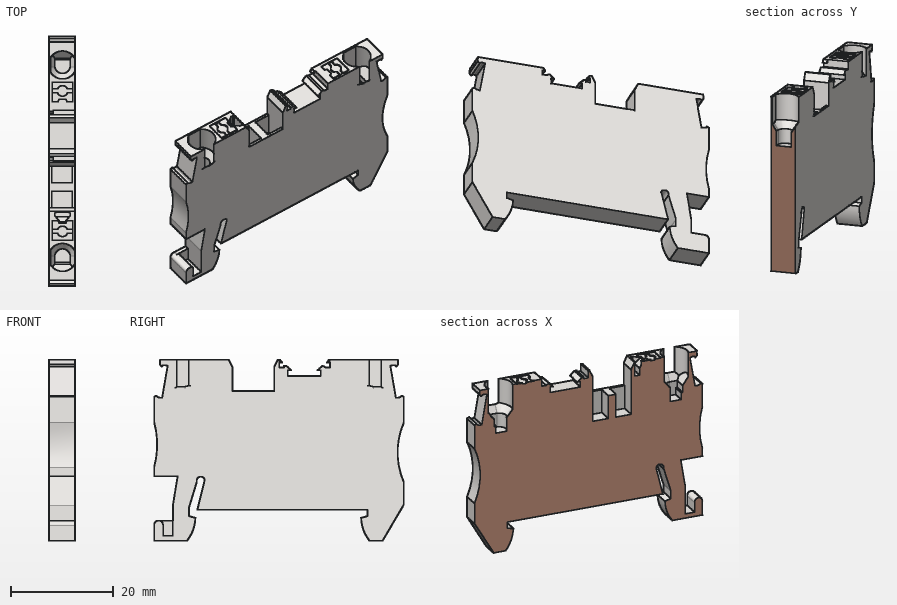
import cadquery as cq
import math

thickness = 5.15
length = 48.6
height = 35.25
half_thickness = thickness / 2
half_length = length / 2

rear_grip_top = 23.0
rear_grip_bottom = 11.35
rear_grip_depth = 1.2
front_grip_top = 23.1
front_grip_bottom = 14.35
front_grip_depth = 0.6

label_lip_y = 23.15
label_lip_bulge = (23.2, 34.3)
label_lip_tip = (22.8, 33.83)
label_lip_hollow = (22.55, 34.05)
label_lip_root = (22.15, 34.1)
recess_top_corner = (21.68, 34.0)
recess_bottom_corner = (22.75, 27.85)
crest_root = (23.1, 27.85)
crest_hollow = (23.5, 27.95)
crest_tip = (23.85, 28.25)
crest_outer_z = 28.0

rail_centre = -0.15
rail_seat_z = 6.05
hook_root_offset = 17.35
hook_root_z = 4.8
hook_tip_offset = 16.1
hook_tip_z = 4.45
hook_belly_offset = 16.45
hook_belly_z = 2.45
hook_toe_offset = 17.75

rear_foot_top = 7.05
rear_foot_heel_y = 20.15

front_foot_shoulder_z = 12.55
front_foot_shoulder_y = -19.75
front_foot_bend_y = -20.65
front_foot_bend_z = 6.9
foot_pad_z = 3.95
foot_pad_radius = 0.87
foot_pocket_wall = 0.85
foot_pocket_depth = 2.9
slot_mouth_y = -15.9
slot_side_bottom_z = 6.4
slot_tip_y = -15.2
slot_tip_z = 11.65
slot_tip_radius = 0.8
slot_lean = math.radians(15.5)

channel_floor_z = 32.1
ledge_z = 33.75
lip_underside_z = 34.65
tooth_top_z = 34.0
tooth_tip_z = 33.15
rear_lip_wall_y = 9.9
front_lip_wall_y = 0.1
lip_width = 0.87
front_lip_crest_y = 0.15
front_lip_tip_y = 0.7
front_ledge_end_y = 0.95
front_tooth_back_y = 1.45
front_tooth_tip_y = 2.4
channel_front_y = 1.75
channel_rear_y = 8.1
rear_tooth_tip_y = 7.5
rear_tooth_back_y = 8.4
rear_tooth_bulge = (8.75, 33.9)
rear_ledge_end_y = 9.05
rear_lip_tip_y = 9.35
rear_lip_crest_y = 9.7

shaft_front_y = -9.05
shaft_rear_y = -0.95
shaft_floor_z = 29.15
shaft_bevel = 0.75
shaft_bevel_z = 33.8
bridge_pocket_width = 4.1
bridge_pocket_length = 3.2
bridge_pocket_depth = 4.85

entry_x = 0.1
bore_y = 18.7
bore_radius = 2.7
bore_depth = 4.85
bore_flat_x = -2.25
funnel_y = 18.35
funnel_depth = 1.95
funnel_bottom_half_width = 1.5
funnel_bottom_reach = 1.3
funnel_bottom_outer_y = 20.0
well_outer_y = 19.7
well_ledge_depth = 1.45
well_depth = 2.9

marker_width = 3.95
marker_outer_y = 15.35
marker_inner_y = 11.55
marker_depth = 0.1
marker_notch_depth = 0.5
marker_notch_base = 0.87
marker_notch_tip = 0.7
screw_y = 13.65
screw_radius = 1.0
screw_slot_width = 0.8
screw_depth = 0.3

probe_rear_y = -9.9
probe_middle_y = -10.85
probe_front_y = -11.75
probe_half_width = 1.5
probe_tip_half_width = 0.55
probe_corner = 0.25
probe_slope_depth = 1.45
probe_depth = 2.9


def line_through(outline, points):
    for point in points:
        outline = outline.lineTo(*point)
    return outline


def body():
    hook_belly_rear = (rail_centre + hook_belly_offset, hook_belly_z)
    hook_belly_front = (rail_centre - hook_belly_offset, hook_belly_z)
    slot_cos = slot_tip_radius * math.cos(slot_lean)
    slot_sin = slot_tip_radius * math.sin(slot_lean)

    outline = cq.Workplane("YZ").moveTo(half_length, height).lineTo(half_length, rear_grip_top)
    outline = outline.threePointArc(
        (half_length - rear_grip_depth, (rear_grip_top + rear_grip_bottom) / 2),
        (half_length, rear_grip_bottom),
    )
    outline = line_through(outline, [
        (half_length, rear_foot_top),
        (rear_foot_heel_y, 0),
        (rail_centre + hook_toe_offset, 0),
    ])
    outline = outline.threePointArc(hook_belly_rear, (rail_centre + hook_tip_offset, hook_tip_z))

    outline = line_through(outline, [
        (rail_centre + hook_root_offset, hook_root_z),
        (rail_centre + hook_root_offset, rail_seat_z),
        (slot_mouth_y, rail_seat_z),
        (slot_tip_y + slot_cos, slot_tip_z + slot_sin),
    ])
    outline = outline.threePointArc(
        (slot_tip_y + slot_sin, slot_tip_z + slot_cos),
        (slot_tip_y - slot_cos, slot_tip_z - slot_sin),
    )

    outline = line_through(outline, [
        (rail_centre - hook_root_offset, slot_side_bottom_z),
        (rail_centre - hook_root_offset, hook_root_z),
        (rail_centre - hook_tip_offset, hook_tip_z),
    ])
    outline = outline.threePointArc(hook_belly_front, (rail_centre - hook_toe_offset, 0))
    outline = line_through(outline, [
        (-half_length, 0),
        (-half_length, foot_pad_z - foot_pad_radius),
    ])
    outline = outline.radiusArc((-half_length + foot_pad_radius, foot_pad_z), foot_pad_radius)
    outline = line_through(outline, [
        (front_foot_bend_y, foot_pad_z),
        (front_foot_bend_y, front_foot_bend_z),
        (front_foot_shoulder_y, front_foot_shoulder_z),
        (-half_length, front_foot_shoulder_z),
        (-half_length, front_grip_bottom),
    ])

    outline = outline.threePointArc(
        (-half_length + front_grip_depth, (front_grip_top + front_grip_bottom) / 2),
        (-half_length, front_grip_top),
    )

    outline = line_through(outline, [
        (-half_length, height),
        (shaft_front_y - shaft_bevel, height),
        (shaft_front_y, shaft_bevel_z),
        (shaft_front_y, shaft_floor_z),
        (shaft_rear_y, shaft_floor_z),
        (shaft_rear_y, shaft_bevel_z),
        (shaft_rear_y + shaft_bevel, height),
    ])

    outline = line_through(outline, [
        (front_lip_crest_y, height),
        (front_lip_tip_y, lip_underside_z),
        (front_lip_wall_y, lip_underside_z),
        (front_lip_wall_y, ledge_z),
        (front_ledge_end_y, ledge_z),
        (front_ledge_end_y, tooth_top_z),
        (front_tooth_back_y, tooth_top_z),
        (front_tooth_tip_y, tooth_tip_z),
        (channel_front_y, tooth_tip_z),
        (channel_front_y, channel_floor_z),
        (channel_rear_y, channel_floor_z),
        (channel_rear_y, tooth_tip_z),
        (rear_tooth_tip_y, tooth_tip_z),
        (rear_tooth_back_y, tooth_top_z),
    ])
    outline = outline.threePointArc(rear_tooth_bulge, (rear_ledge_end_y, ledge_z))
    outline = line_through(outline, [
        (rear_lip_wall_y, ledge_z),
        (rear_lip_wall_y, lip_underside_z),
        (rear_lip_tip_y, lip_underside_z),
        (rear_lip_crest_y, height),
    ])
    return outline.close().extrude(half_thickness, both=True)


def end_recess():
    """Label recess in the upper rear end, between a hanging lip and an upright crest."""
    outline = cq.Workplane("YZ").moveTo(label_lip_y, height)
    outline = line_through(outline, [label_lip_bulge, label_lip_tip])
    outline = outline.threePointArc(label_lip_hollow, label_lip_root)
    outline = line_through(outline, [recess_top_corner, recess_bottom_corner, crest_root])
    outline = outline.threePointArc(crest_hollow, crest_tip)
    outline = line_through(outline, [(half_length, crest_outer_z), (half_length, height)])
    return outline.close().extrude(half_thickness, both=True)


def foot_pocket():
    """Tool pocket behind the half-round bead of the foot pad, open at the +X face."""
    bead_y = -half_length + foot_pad_radius
    bottom_z = foot_pad_z - foot_pocket_depth
    profile = (
        cq.Workplane("YZ", origin=(-half_thickness + foot_pocket_wall, 0, 0))
        .moveTo(bead_y, foot_pad_z)
        .radiusArc((bead_y + foot_pad_radius, foot_pad_z - foot_pad_radius), foot_pad_radius)
        .lineTo(bead_y + foot_pad_radius, bottom_z)
        .lineTo(front_foot_bend_y, bottom_z)
        .lineTo(front_foot_bend_y, foot_pad_z)
        .close()
    )
    return profile.extrude(thickness - foot_pocket_wall)


def box_between(x_range, y_range, z_range):
    sizes = [upper - lower for lower, upper in (x_range, y_range, z_range)]
    corner = (x_range[0], y_range[0], z_range[0])
    return cq.Workplane("XY").box(*sizes, centered=False).translate(corner)


def lip_relief():
    """Removes the channel lips except for a short stub at the -X face."""
    return box_between(
        (-half_thickness + lip_width, half_thickness),
        (front_lip_wall_y, rear_lip_wall_y),
        (tooth_top_z, height),
    )


def bridge_pockets():
    """Two pockets in the shaft floor, one against each shaft wall."""
    half_width = bridge_pocket_width / 2
    x_range = (-half_width, half_width)
    z_range = (shaft_floor_z - bridge_pocket_depth, shaft_floor_z)
    rear = box_between(x_range, (shaft_rear_y - bridge_pocket_length, shaft_rear_y), z_range)
    front = box_between(x_range, (shaft_front_y, shaft_front_y + bridge_pocket_length), z_range)
    return rear.union(front)


def funnel_section(sketch, half_width, reach, outer_y):
    """U shape: bulges by `reach` towards the middle of the part and is flat towards its end."""
    return (
        sketch.moveTo(entry_x - half_width, outer_y)
        .lineTo(entry_x - half_width, funnel_y)
        .threePointArc((entry_x, funnel_y - reach), (entry_x + half_width, funnel_y))
        .lineTo(entry_x + half_width, outer_y)
        .close()
    )


def funnel_throat(sketch, outer_y):
    return funnel_section(sketch, funnel_bottom_half_width, funnel_bottom_reach, outer_y)


def wire_entry():
    """Wire entry of the rear end: bore, funnel and a stepped well below."""
    bore_bottom = height - bore_depth
    funnel_bottom = bore_bottom - funnel_depth
    bore = (
        cq.Workplane("XY", origin=(entry_x, bore_y, funnel_bottom))
        .circle(bore_radius)
        .extrude(bore_depth + funnel_depth)
    )
    bore = bore.intersect(box_between(
        (bore_flat_x, entry_x + bore_radius),
        (bore_y - bore_radius, bore_y + bore_radius),
        (funnel_bottom, height),
    ))
    straight_bore = bore.intersect(box_between(
        (-thickness, thickness), (0, half_length), (bore_bottom, height)
    ))
    mouth = funnel_section(
        cq.Workplane("XY", origin=(0, 0, bore_bottom)), bore_radius, bore_radius, bore_y + bore_radius
    )
    throat = funnel_throat(mouth.workplane(offset=-funnel_depth), funnel_bottom_outer_y)
    funnel = throat.loft(ruled=True).intersect(bore)
    well_plane = cq.Workplane("XY", origin=(0, 0, funnel_bottom))
    ledge = funnel_throat(well_plane, funnel_bottom_outer_y).extrude(-well_ledge_depth)
    well = funnel_throat(well_plane, well_outer_y).extrude(-well_depth)
    return straight_bore.union(funnel).union(ledge).union(well)


def marker():
    """Marker of the rear end: a notched shallow recess with a deeper screw head and slot."""
    half_width = marker_width / 2
    notch_y = marker_inner_y + marker_notch_depth
    recess = (
        cq.Workplane("XY", origin=(entry_x, 0, height))
        .polyline([
            (-half_width, marker_outer_y),
            (-half_width, marker_inner_y),
            (-marker_notch_base, marker_inner_y),
            (-marker_notch_tip, notch_y),
            (marker_notch_tip, notch_y),
            (marker_notch_base, marker_inner_y),
            (half_width, marker_inner_y),
            (half_width, marker_outer_y),
        ])
        .close()
        .extrude(-marker_depth)
    )
    screw_plane = cq.Workplane("XY", origin=(entry_x, screw_y, height))
    screw_head = screw_plane.circle(screw_radius).extrude(-screw_depth)
    screw_slot = screw_plane.rect(marker_width, screw_slot_width).extrude(-screw_depth)
    return recess.union(screw_head).union(screw_slot)


def probe_opening():
    """Tapering opening: its plan outline met with a side profile that slopes at the narrow end."""
    plan = (
        cq.Workplane("XY", origin=(entry_x, 0, height - probe_depth))
        .polyline([
            (-probe_half_width + probe_corner, probe_rear_y),
            (-probe_half_width, probe_rear_y - probe_corner),
            (-probe_half_width, probe_middle_y + probe_corner),
            (-probe_tip_half_width, probe_front_y),
            (probe_tip_half_width, probe_front_y),
            (probe_half_width, probe_middle_y + probe_corner),
            (probe_half_width, probe_rear_y - probe_corner),
            (probe_half_width - probe_corner, probe_rear_y),
        ])
        .close()
        .extrude(probe_depth)
    )
    profile = (
        cq.Workplane("YZ")
        .polyline([
            (probe_front_y, height),
            (probe_middle_y, height - probe_slope_depth),
            (probe_middle_y, height - probe_depth),
            (probe_rear_y, height - probe_depth),
            (probe_rear_y, height),
        ])
        .close()
        .extrude(half_thickness, both=True)
    )
    return plan.intersect(profile)


result = body().cut(lip_relief()).cut(bridge_pockets()).cut(probe_opening()).cut(foot_pocket())
for end_feature in (end_recess(), wire_entry(), marker()):
    result = result.cut(end_feature).cut(end_feature.mirror("XZ"))